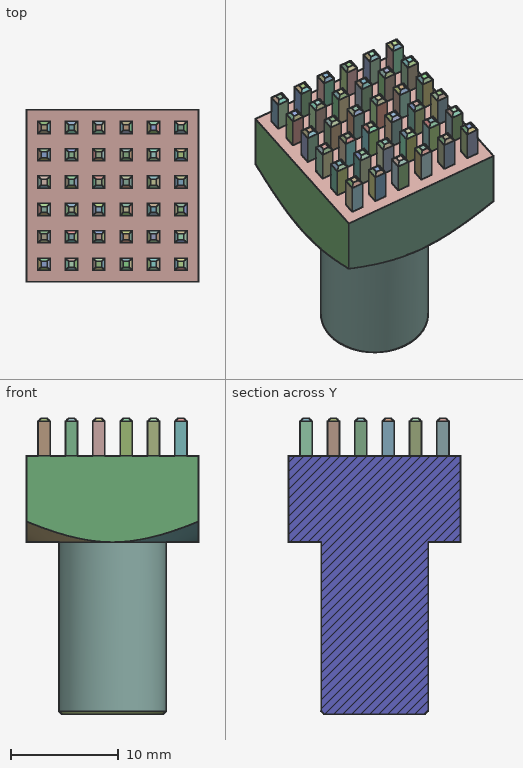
import cadquery as cq
import math

shank_diameter = 10.0
shank_length = 16.0
shank_chamfer = 0.3

head_width = 16.0
head_height = 8.0
head_cone_angle = 30.0

pins_per_side = 6
pin_pitch = 2.54
pin_width = 1.14
pin_height = 3.5
pin_chamfer = 0.3

head_top = shank_length + head_height


def make_shank():
    """Upright round shank with a chamfered lower rim."""
    shank = cq.Workplane("XY").circle(shank_diameter / 2).extrude(shank_length)
    return shank.faces("<Z").chamfer(shank_chamfer)


def make_head():
    """Square block whose lower corners are turned away by a cone."""
    block = (
        cq.Workplane("XY")
        .workplane(offset=shank_length)
        .rect(head_width, head_width)
        .extrude(head_height)
    )
    base_radius = head_width / 2
    outer_radius = head_width
    cone_rise = (outer_radius - base_radius) * math.tan(math.radians(head_cone_angle))
    envelope = (
        cq.Workplane("XZ")
        .moveTo(0, shank_length)
        .lineTo(base_radius, shank_length)
        .lineTo(outer_radius, shank_length + cone_rise)
        .lineTo(outer_radius, head_top)
        .lineTo(0, head_top)
        .close()
        .revolve(360, (0, 0, 0), (0, 1, 0))
    )
    return block.intersect(envelope)


def make_pins():
    """Square grid of square pins with chamfered tips, standing on the head."""
    pins = (
        cq.Workplane("XY")
        .workplane(offset=head_top)
        .rarray(pin_pitch, pin_pitch, pins_per_side, pins_per_side)
        .rect(pin_width, pin_width)
        .extrude(pin_height)
    )
    return pins.faces(">Z").chamfer(pin_chamfer)


result = make_shank().union(make_head()).union(make_pins())